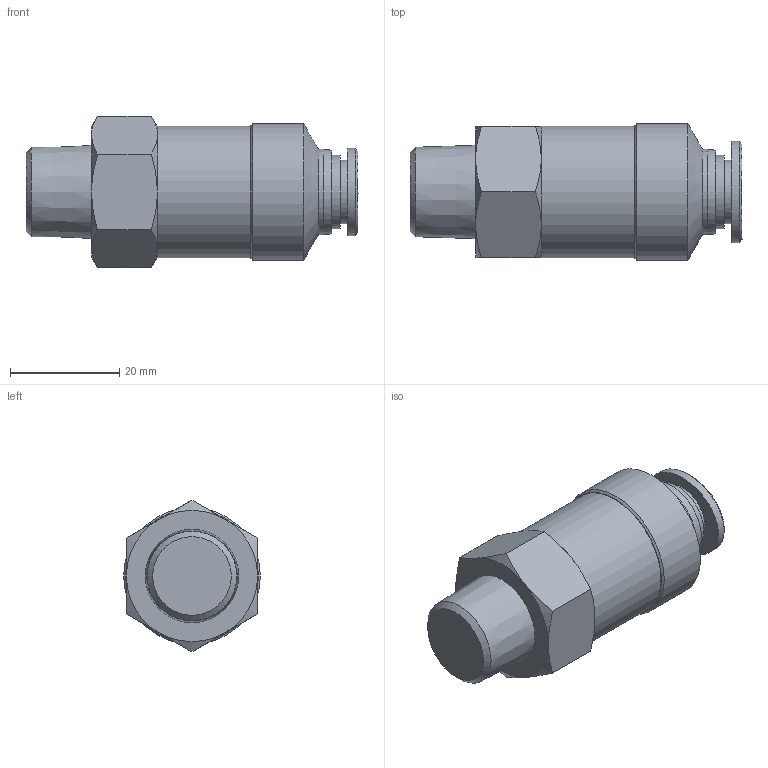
import cadquery as cq
import math

hex_start = 12.0
hex_length = 12.0
hex_end = hex_start + hex_length
sleeve_start = 41.1
sleeve_end = 50.8
nose_end = 53.5
collar_taper_start = 54.4
collar_end = 55.9
step_end = 57.5
neck_end = 58.7
total_length = 60.7

nipple_root_radius = 8.53
thread_taper = 1 / 16
nipple_chamfer = 1.0

across_flats = 24.0
across_corners = across_flats / math.cos(math.radians(30))
hex_chamfer_angle = 30.0

body_radius = across_flats / 2
sleeve_radius = 12.5
sleeve_chamfer = 0.35
collar_radius = 7.78
collar_end_radius = 7.65
step_radius = 6.7
neck_radius = 5.8

button_half_width = 9.25
button_half_height = 8.0
button_chamfer = 0.5


def revolve_about_x(profile):
    """Close a list of (x, radius) points down to the axis and revolve it about X."""
    first_x = profile[0][0]
    last_x = profile[-1][0]
    outline = [(first_x, 0), *profile, (last_x, 0)]
    return cq.Workplane("XY").polyline(outline).close().revolve(360, (0, 0, 0), (1, 0, 0))


def make_nipple():
    """Conical thread blank with a chamfered end."""
    tip_radius = nipple_root_radius - (hex_start - nipple_chamfer) * thread_taper / 2
    return revolve_about_x([
        (0, tip_radius - nipple_chamfer),
        (nipple_chamfer, tip_radius),
        (hex_start, nipple_root_radius),
    ])


def make_hexagon():
    """Hexagon with corners up and down, its corners turned off at both ends."""
    prism = (
        cq.Workplane("YZ", origin=(hex_start, 0, 0))
        .polygon(6, across_corners)
        .extrude(hex_length)
        .rotate((0, 0, 0), (1, 0, 0), 90)
    )
    corner_radius = across_corners / 2
    chamfer_length = (corner_radius - body_radius) * math.tan(math.radians(hex_chamfer_angle))
    turned_envelope = revolve_about_x([
        (hex_start, body_radius),
        (hex_start + chamfer_length, corner_radius),
        (hex_end - chamfer_length, corner_radius),
        (hex_end, body_radius),
    ])
    return prism.intersect(turned_envelope)


def make_body():
    """Round body, larger sleeve, conical nose and the stepped collar behind the button."""
    return revolve_about_x([
        (hex_end, body_radius),
        (sleeve_start, body_radius),
        (sleeve_start, sleeve_radius - sleeve_chamfer),
        (sleeve_start + sleeve_chamfer, sleeve_radius),
        (sleeve_end, sleeve_radius),
        (nose_end, collar_radius),
        (collar_taper_start, collar_radius),
        (collar_end, collar_end_radius),
        (collar_end, step_radius),
        (step_end, step_radius),
        (step_end, neck_radius),
        (neck_end, neck_radius),
    ])


def make_button():
    """Elliptical flange with its outer rim chamfered."""
    return (
        cq.Workplane("YZ", origin=(neck_end, 0, 0))
        .ellipse(button_half_width, button_half_height)
        .extrude(total_length - neck_end)
        .faces(">X")
        .chamfer(button_chamfer)
    )


result = make_nipple().union(make_hexagon()).union(make_body()).union(make_button())